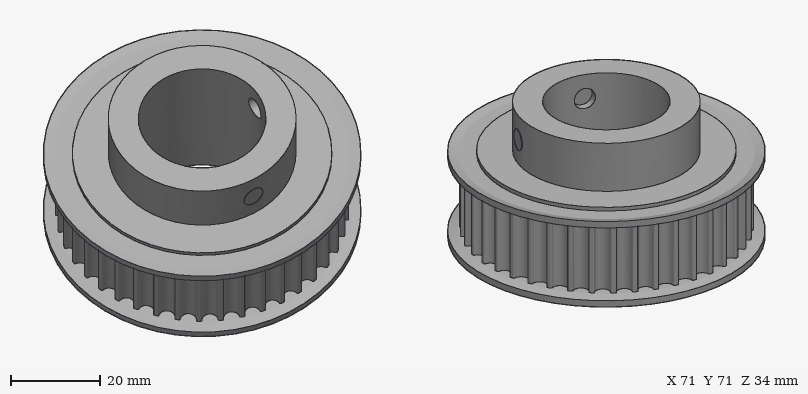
import cadquery as cq
import math

tooth_count = 42
belt_pitch = 5.0
pitch_line_offset = 0.5715
groove_depth = 2.06
groove_radius = 1.82
tip_radius = 0.3
tooth_width = 17.0

spigot_radius = 29.0
spigot_length = 2.5
hub_radius = 21.0
hub_length = 12.0
bore_radius = 14.25

flange_radius = 35.5
bend_radius = 33.2
flange_thickness = 1.6
bend_offset = 0.6

screw_radius = 2.5
screw_length = 4.8
screw_protrusion = 0.1
screw_angles = (0, 90)

pitch_angle = 360.0 / tooth_count
tip_circle_radius = tooth_count * belt_pitch / (2 * math.pi) - pitch_line_offset
groove_center_radius = tip_circle_radius - groove_depth + groove_radius
gear_height = tooth_width + 2 * spigot_length
total_height = gear_height + hub_length
screw_height = gear_height + hub_length / 2
screw_start = hub_radius + screw_protrusion - screw_length


def disc(radius, bottom, height):
    return cq.Workplane("XY").workplane(offset=bottom).circle(radius).extrude(height)


def groove_cutter():
    """One belt groove on the -Y side: round bottom, with rounded tips at both edges."""
    tip_center_radius = tip_circle_radius - tip_radius
    center_gap = groove_radius + tip_radius
    cos_half = (tip_center_radius**2 + groove_center_radius**2 - center_gap**2) / (
        2 * tip_center_radius * groove_center_radius
    )
    half_angle = math.acos(cos_half)
    tip_x = tip_center_radius * math.sin(half_angle)
    tip_y = -tip_center_radius * math.cos(half_angle)

    toward_x = -tip_x / center_gap
    toward_y = (-groove_center_radius - tip_y) / center_gap
    flank = (tip_x + tip_radius * toward_x, tip_y + tip_radius * toward_y)
    edge = (tip_circle_radius * math.sin(half_angle), -tip_circle_radius * math.cos(half_angle))

    bisect_x = toward_x + math.sin(half_angle)
    bisect_y = toward_y - math.cos(half_angle)
    bisect_length = math.hypot(bisect_x, bisect_y)
    tip_mid = (
        tip_x + tip_radius * bisect_x / bisect_length,
        tip_y + tip_radius * bisect_y / bisect_length,
    )
    groove_bottom = (0, groove_depth - tip_circle_radius)
    outer_y = -flange_radius

    return (
        cq.Workplane("XY")
        .workplane(offset=spigot_length)
        .moveTo(-edge[0], outer_y)
        .lineTo(-edge[0], edge[1])
        .threePointArc((-tip_mid[0], tip_mid[1]), (-flank[0], flank[1]))
        .threePointArc(groove_bottom, flank)
        .threePointArc(tip_mid, edge)
        .lineTo(edge[0], outer_y)
        .close()
        .extrude(tooth_width)
    )


def radial_cylinder(angle, start, length):
    """Cylinder at set screw height, running outward from the given radius."""
    return (
        cq.Workplane("YZ")
        .workplane(offset=start)
        .center(0, screw_height)
        .circle(screw_radius)
        .extrude(length)
        .rotate((0, 0, 0), (0, 0, 1), angle)
    )


def make_pulley():
    body = disc(spigot_radius, 0, gear_height)
    body = body.union(disc(tip_circle_radius, spigot_length, tooth_width))
    body = body.union(disc(hub_radius, gear_height, hub_length))
    body = body.cut(disc(bore_radius, 0, total_height))
    cutter = groove_cutter()
    grooves = [cutter.rotate((0, 0, 0), (0, 0, 1), i * pitch_angle).val() for i in range(tooth_count)]
    body = body.cut(cq.Workplane(cq.Compound.makeCompound(grooves)))
    for angle in screw_angles:
        body = body.cut(radial_cylinder(angle, 0, flange_radius))
    return body


def make_flange(seat_height, outward):
    """Bent ring against the toothed rim; outward is +1 for the upper flange, -1 for the lower."""
    outer_face = seat_height + outward * flange_thickness
    bend = outward * bend_offset
    return (
        cq.Workplane("XZ")
        .moveTo(spigot_radius, seat_height)
        .lineTo(bend_radius, seat_height)
        .lineTo(flange_radius, seat_height + bend)
        .lineTo(flange_radius, outer_face + bend)
        .lineTo(bend_radius, outer_face)
        .lineTo(spigot_radius, outer_face)
        .close()
        .revolve(360, (0, 0), (0, 1))
    )


pulley = make_pulley()
lower_flange = make_flange(spigot_length, -1)
upper_flange = make_flange(spigot_length + tooth_width, 1)
set_screws = [radial_cylinder(angle, screw_start, screw_length) for angle in screw_angles]

result = cq.Compound.makeCompound(
    [
        pulley.val(),
        lower_flange.val(),
        upper_flange.val(),
        *[screw.val() for screw in set_screws],
    ]
)